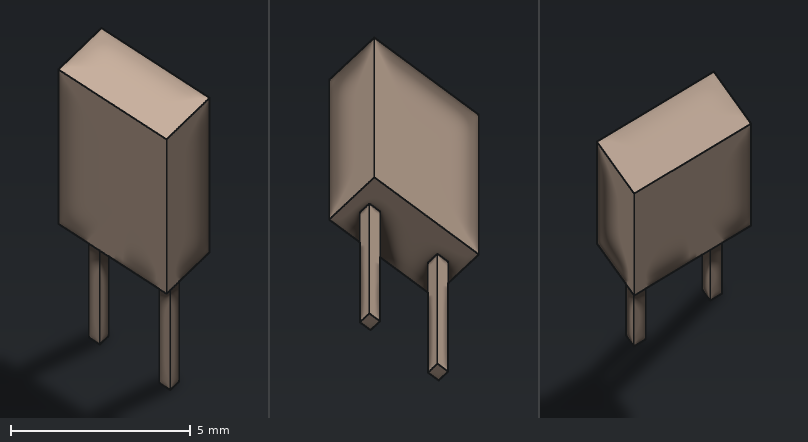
import cadquery as cq

body_width = 3.9
body_depth = 1.9
body_height = 7.0

overall_height = 12.5
lead_length = overall_height - body_height
lead_side = 0.4
lead_pitch = 2.54


def make_body():
    """Plain block centred on the Z axis."""
    return cq.Workplane("XY").rect(body_width, body_depth).extrude(body_height)


def make_lead(x_center):
    """Square lead running down from the underside of the body."""
    return (
        cq.Workplane("XY")
        .center(x_center, 0)
        .rect(lead_side, lead_side)
        .extrude(-lead_length)
    )


result = make_body()
for side in (-1, 1):
    result = result.union(make_lead(side * lead_pitch / 2))